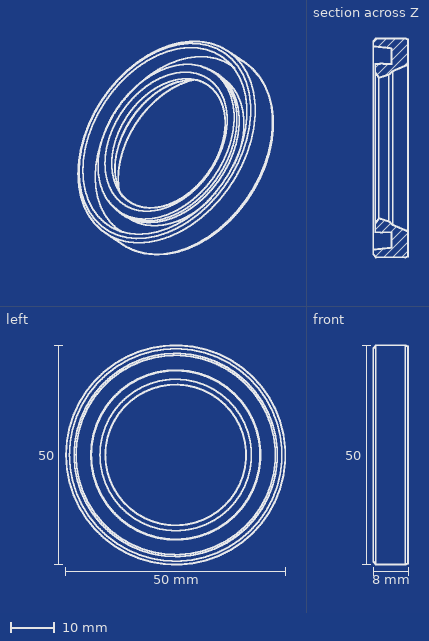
import cadquery as cq

width = 8.0
outer_radius = 25.0

front_chamfer_length = 0.65
front_chamfer_height = 0.8
back_corner_length = 0.65
back_corner_height = 0.25
rim_mouth_radius = 23.15
rim_root_radius = 22.7

floor_x = 4.25
floor_corner_length = 0.1
floor_corner_height = 0.35

hub_front_x = 0.45
hub_radius = 19.2
bead_radius = 19.35
bead_start_x = 1.55
bead_end_x = 2.4
bead_middle_x = (bead_start_x + bead_end_x) / 2

bore_front_radius = 17.25
lip_x = 1.35
lip_radius = 16.0
shoulder_start_x = 3.6
shoulder_start_radius = 16.7
shoulder_end_x = 4.5
shoulder_end_radius = 17.5
bore_back_radius = 19.0

rim_outside = [
    (0, rim_mouth_radius),
    (0, outer_radius - front_chamfer_height),
    (front_chamfer_length, outer_radius),
    (width - back_corner_length, outer_radius),
    (width, outer_radius - back_corner_height),
]
bore = [
    (width, bore_back_radius),
    (shoulder_end_x, shoulder_end_radius),
    (shoulder_start_x, shoulder_start_radius),
    (lip_x, lip_radius),
    (hub_front_x, bore_front_radius),
]
channel = [
    (floor_x, hub_radius),
    (floor_x, rim_root_radius - floor_corner_height),
    (floor_x - floor_corner_length, rim_root_radius),
]

section = (
    cq.Workplane("XY")
    .polyline(rim_outside + bore)
    .lineTo(hub_front_x, hub_radius)
    .lineTo(bead_start_x, hub_radius)
    .threePointArc((bead_middle_x, bead_radius), (bead_end_x, hub_radius))
)
for x, radius in channel:
    section = section.lineTo(x, radius)

result = section.close().revolve(360, (0, 0, 0), (1, 0, 0))